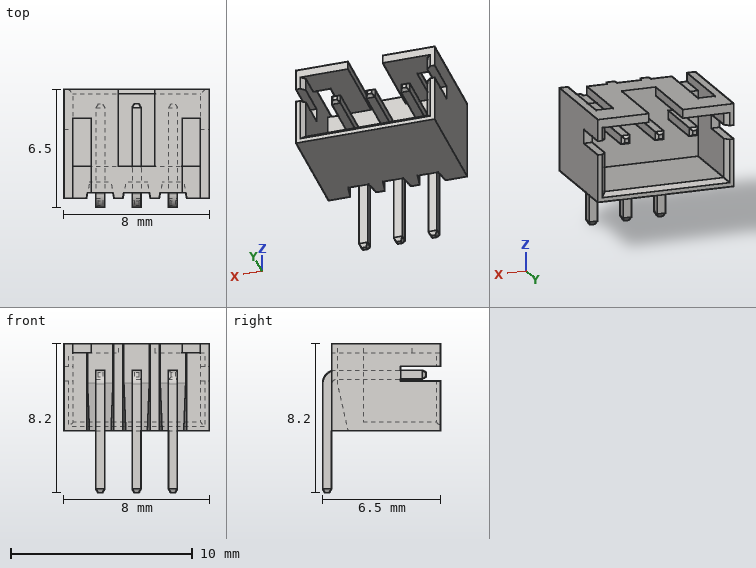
import cadquery as cq
import math


pin_count = 3
pin_pitch = 2.0
pin_size = 0.5
pin_height = 3.1
pin_front = 5.2
pin_drop = 3.4
tip_inset = pin_size / 4
tip_length = tip_inset / math.tan(math.radians(30))
bend_inner_radius = 0.25
bend_outer_radius = bend_inner_radius + pin_size

housing_width = 8.0
housing_length = 6.0
housing_height = 4.8
wall = 0.5
rear_wall = 1.75
mouth_chamfer = 0.25

key_slot_width = 2.0
top_slot_width = 1.0
top_slot_length = 4.4
side_slit_length = 2.2
side_slit_bottom = 2.75
side_slit_top = 3.55

groove_width = 1.5
groove_depth = 0.3
groove_foot_depth = 0.9
groove_slope_top = 2.65
groove_draft = math.radians(10)

pin_positions = [(i - (pin_count - 1) / 2) * pin_pitch for i in range(pin_count)]


def block(x_range, y_range, z_range):
    """Rectangular block between the given limits."""
    return (
        cq.Workplane("XY")
        .box(x_range[1] - x_range[0], y_range[1] - y_range[0], z_range[1] - z_range[0], centered=False)
        .translate((x_range[0], y_range[0], z_range[0]))
    )


def make_cavity():
    """Mating cavity, with a lead-in on the floor and on both side walls."""
    half_width = housing_width / 2 - wall
    mouth_half_width = half_width + mouth_chamfer
    chamfer_start = housing_length - mouth_chamfer
    ceiling = housing_height - wall
    outline = (
        cq.Workplane("XY")
        .workplane(offset=wall - mouth_chamfer)
        .polyline([
            (-half_width, rear_wall),
            (half_width, rear_wall),
            (half_width, chamfer_start),
            (mouth_half_width, housing_length),
            (-mouth_half_width, housing_length),
            (-half_width, chamfer_start),
        ])
        .close()
        .extrude(ceiling - wall + mouth_chamfer)
    )
    side_profile = (
        cq.Workplane("YZ")
        .polyline([
            (rear_wall, ceiling),
            (rear_wall, wall),
            (chamfer_start, wall),
            (housing_length, wall - mouth_chamfer),
            (housing_length, ceiling),
        ])
        .close()
        .extrude(housing_width / 2, both=True)
    )
    return outline.intersect(side_profile)


def make_groove(x):
    """Full-height rear groove: drafted sides, and a back that slopes deeper towards the underside."""
    half_width = groove_width / 2
    foot_half_width = half_width - groove_foot_depth * math.tan(groove_draft)
    plan = (
        cq.Workplane("XY")
        .polyline([
            (x - half_width, 0),
            (x + half_width, 0),
            (x + foot_half_width, groove_foot_depth),
            (x - foot_half_width, groove_foot_depth),
        ])
        .close()
        .extrude(housing_height)
    )
    side_profile = (
        cq.Workplane("YZ")
        .polyline([
            (0, 0),
            (groove_foot_depth, 0),
            (groove_depth, groove_slope_top),
            (groove_depth, housing_height),
            (0, housing_height),
        ])
        .close()
        .extrude(housing_width, both=True)
    )
    return plan.intersect(side_profile)


def make_housing():
    half_width = housing_width / 2
    top_wall = (housing_height - wall, housing_height)
    housing = block((-half_width, half_width), (0, housing_length), (0, housing_height))
    housing = housing.cut(make_cavity())

    housing = housing.cut(
        block((-key_slot_width / 2, key_slot_width / 2), (rear_wall, housing_length), top_wall)
    )

    slot_outer = half_width - wall
    slot_inner = slot_outer - top_slot_width
    for slot_x in ((-slot_outer, -slot_inner), (slot_inner, slot_outer)):
        housing = housing.cut(block(slot_x, (0, top_slot_length), top_wall))

    housing = housing.cut(
        block(
            (-half_width, half_width),
            (housing_length - side_slit_length, housing_length),
            (side_slit_bottom, side_slit_top),
        )
    )

    hole_z = (pin_height - pin_size / 2, pin_height + pin_size / 2)
    for x in pin_positions:
        housing = housing.cut(make_groove(x))
        housing = housing.cut(block((x - pin_size / 2, x + pin_size / 2), (0, rear_wall), hole_z))
    return housing


def make_tip(plane):
    """Tapered end, grown from the middle of a leg's end face."""
    end_size = pin_size - 2 * tip_inset
    return (
        cq.Workplane(plane)
        .rect(pin_size, pin_size)
        .workplane(offset=tip_length)
        .rect(end_size, end_size)
        .loft(ruled=True)
    )


def make_pin(x):
    """Square pin: horizontal contact, bend behind the housing, tail pointing down."""
    leg_front = pin_front - tip_length
    leg_foot = tip_length - pin_drop
    leg_top = pin_height + pin_size / 2
    leg_bottom = pin_height - pin_size / 2
    bend_y = bend_inner_radius
    bend_z = leg_bottom - bend_inner_radius
    diagonal = math.sqrt(0.5)

    def bend_middle(radius):
        return (bend_y - radius * diagonal, bend_z + radius * diagonal)

    wire = (
        cq.Workplane("YZ", origin=(x, 0, 0))
        .moveTo(leg_front, leg_top)
        .lineTo(bend_y, leg_top)
        .threePointArc(bend_middle(bend_outer_radius), (-pin_size, bend_z))
        .lineTo(-pin_size, leg_foot)
        .lineTo(0, leg_foot)
        .lineTo(0, bend_z)
        .threePointArc(bend_middle(bend_inner_radius), (bend_y, leg_bottom))
        .lineTo(leg_front, leg_bottom)
        .close()
        .extrude(pin_size / 2, both=True)
    )
    contact_end = cq.Plane((x, leg_front, pin_height), xDir=(1, 0, 0), normal=(0, 1, 0))
    tail_end = cq.Plane((x, -pin_size / 2, leg_foot), xDir=(1, 0, 0), normal=(0, 0, -1))
    return wire.union(make_tip(contact_end)).union(make_tip(tail_end))


housing = make_housing()
pins = [make_pin(x) for x in pin_positions]

result = cq.Compound.makeCompound([housing.solids().val(), *[pin.solids().val() for pin in pins]])